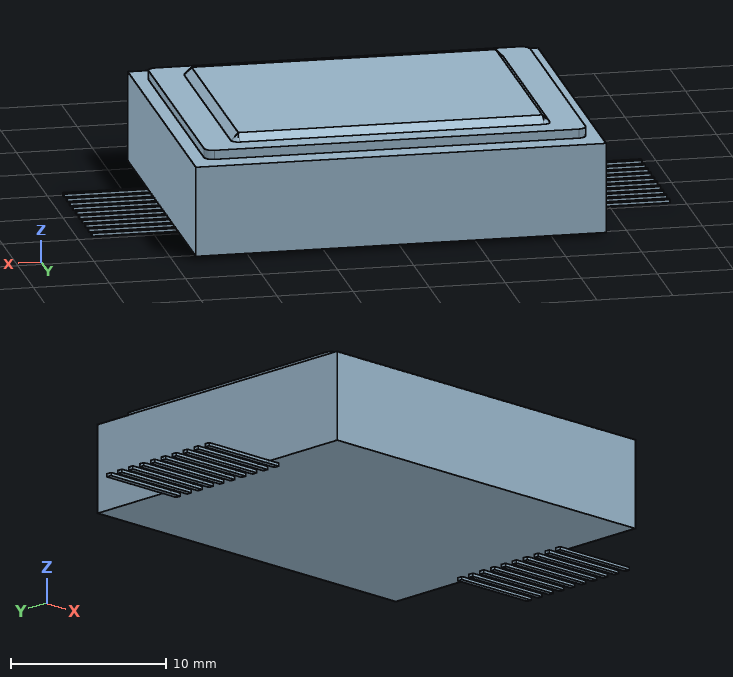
import cadquery as cq
import math

body_length = 26.98
body_width = 22.0
body_height = 6.0

lid_length = 25.08
lid_width = 19.0
lid_thickness = 0.6
lid_corner_radius = 0.57

panel_length = 20.98
panel_width = 16.0
panel_height = 0.5
panel_slope_angle = 45
panel_slope_run = panel_height * math.tan(math.radians(panel_slope_angle))
panel_top_length = panel_length - 2 * panel_slope_run
panel_top_width = panel_width - 2 * panel_slope_run

lead_tip_span = 38.0
lead_length = 6.27
lead_width = 0.38
lead_thickness = 0.21
leads_per_row = 10
lead_row_span = 9.0
lead_row_offset_y = -0.15
lead_pitch = lead_row_span / (leads_per_row - 1)

body_bottom = lead_thickness
body_top = body_bottom + body_height
lid_top = body_top + lid_thickness


def make_body():
    return (
        cq.Workplane("XY", origin=(0, 0, body_bottom))
        .rect(body_length, body_width)
        .extrude(body_height)
    )


def make_lid():
    return (
        cq.Workplane("XY", origin=(0, 0, body_top))
        .rect(lid_length, lid_width)
        .extrude(lid_thickness)
        .edges("|Z")
        .fillet(lid_corner_radius)
    )


def make_panel():
    """Low frustum whose corners are cones: round at the base, sharp at the top."""
    base = cq.Workplane("XY", origin=(0, 0, lid_top))
    sloped = base.rect(panel_length, panel_width).extrude(panel_height, taper=panel_slope_angle)

    lengthwise = base.rect(panel_length, panel_top_width).extrude(panel_height)
    crosswise = base.rect(panel_top_length, panel_width).extrude(panel_height)
    panel = sloped.intersect(lengthwise.union(crosswise))

    cone = cq.Solid.makeCone(panel_slope_run, 0, panel_height)
    corners = base.rect(panel_top_length, panel_top_width, forConstruction=True).vertices()
    return panel.union(corners.eachpoint(cone, combine=False))


def make_leads():
    row_spacing = lead_tip_span - lead_length
    return (
        cq.Workplane("XY", origin=(0, lead_row_offset_y, 0))
        .rarray(row_spacing, lead_pitch, 2, leads_per_row)
        .rect(lead_length, lead_width)
        .extrude(lead_thickness)
    )


result = make_body().union(make_lid()).union(make_panel()).union(make_leads())